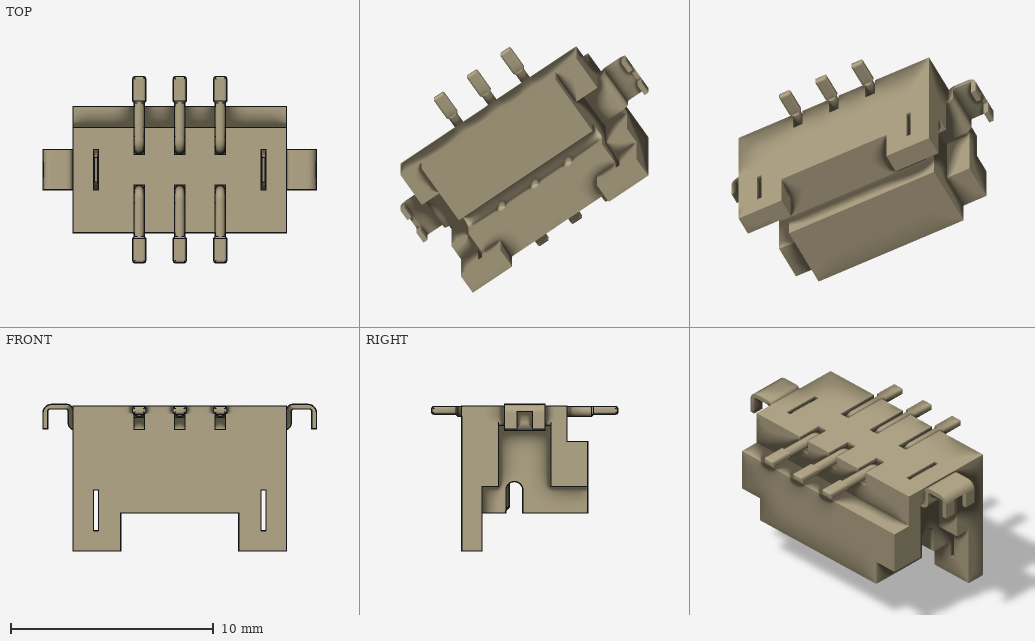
import cadquery as cq


overall_width = 13.5
overall_length = 9.2
overall_height = 7.25

body_width = 10.53
body_length = 6.24
clip_rise = 0.08
body_height = overall_height - clip_rise
side_wall_depth = 3.98
block_depth = 5.29
front_wall = 1.01
leg_width = 2.36
step_length = 1.03
step_depth = 1.75
half_body = body_width / 2
mid_y = body_length / 2

strip = 0.24
clip_length = 2.0
clip_depth = 1.13
clip_outer_bend = 0.45
clip_inner_bend = 0.31
clip_inside_bend = 0.1
window_length = 0.78
window_depth = 0.28
tip_depth = 0.14
tip_taper = 0.4
tip_side_taper = 0.04

slot_inset = 1.01
recess_inset = slot_inset + strip
recess_length = 2.56
recess_roof = 0.97
recess_rounding = 0.16
leg_slot_length = 2.0
leg_slot_base = 1.01

cross_slot_width = 0.82
cross_slot_y = 2.6
cross_slot_top = 3.74

pin_pitch = 2.0
pin_diameter = 0.5
pin_radius = pin_diameter / 2
pin_bend = 0.45
pin_top = 0.03
pin_end = 5.16
pin_end_chamfer = 0.16
head_length = 1.22
head_width = 0.65
head_height = 0.39
head_rounding = 0.14
neck_length = 0.08
groove_width = 0.54
groove_length = 2.36
groove_mouth_depth = 1.16
groove_floor_depth = 0.58
groove_ramp_length = 1.47


def box(x0, x1, y0, y1, z0, z1):
    """Box between two opposite corners."""
    return cq.Workplane("XY").box(x1 - x0, y1 - y0, z1 - z0, centered=False).translate((x0, y0, z0))


def both_sides(shape):
    """Shape on the left side together with its mirror image on the right."""
    return shape.union(shape.mirror("YZ"))


def make_housing():
    outer = box(-half_body, half_body, 0, body_length, -side_wall_depth, 0)
    front = box(-half_body, half_body, 0, front_wall, -body_height, 0)
    leg_gap = box(leg_width - half_body, half_body - leg_width, 0, front_wall, -body_height, -block_depth)
    half_block = half_body - recess_inset
    block = box(-half_block, half_block, 0, body_length, -block_depth, 0)
    step = box(-half_body, half_body, body_length - step_length, body_length, -step_depth, 0)
    return outer.union(front.cut(leg_gap)).union(block).cut(step)


def make_cross_slot():
    radius = cross_slot_width / 2
    spring = cross_slot_top + radius
    return (
        cq.Workplane("YZ", origin=(-half_body, 0, 0))
        .moveTo(cross_slot_y - radius, -block_depth)
        .lineTo(cross_slot_y - radius, -spring)
        .threePointArc((cross_slot_y, -cross_slot_top), (cross_slot_y + radius, -spring))
        .lineTo(cross_slot_y + radius, -block_depth)
        .close()
        .extrude(body_width)
    )


def make_clip_recess():
    """Left recess with a rounded roof edge, its roof slot and the slot through the leg."""
    y0 = mid_y - recess_length / 2
    wall = -half_body
    floor = wall + recess_inset
    recess = (
        cq.Workplane("XZ", origin=(0, y0, 0))
        .moveTo(wall, -side_wall_depth)
        .lineTo(wall, recess_rounding - recess_roof)
        .radiusArc((wall + recess_rounding, -recess_roof), -recess_rounding)
        .lineTo(floor, -recess_roof)
        .lineTo(floor, -side_wall_depth)
        .close()
        .extrude(-recess_length)
    )
    roof_slot = box(
        floor - strip, floor, mid_y - clip_length / 2, mid_y + clip_length / 2, -recess_roof, 0
    )
    slot_base = leg_slot_base - body_height
    leg_slot = box(floor - strip, floor, 0, front_wall, slot_base, slot_base + leg_slot_length)
    return recess.union(roof_slot).union(leg_slot)


def make_clip():
    """Left clip: a hook outside the housing, a strap under the recess roof and a tip in the slot."""
    left = -overall_width / 2
    wall = -half_body
    floor = wall + recess_inset
    outer_curve = recess_rounding + strip
    bend_z = recess_rounding - recess_roof
    tip_base = -tip_depth - tip_taper
    y0 = mid_y - clip_length / 2
    clip = (
        cq.Workplane("XZ", origin=(0, y0, 0))
        .moveTo(left, -clip_depth)
        .lineTo(left, clip_rise - clip_outer_bend)
        .radiusArc((left + clip_outer_bend, clip_rise), clip_outer_bend)
        .lineTo(wall - clip_inner_bend, clip_rise)
        .radiusArc((wall, clip_rise - clip_inner_bend), clip_inner_bend)
        .lineTo(wall, bend_z)
        .radiusArc((wall + recess_rounding, -recess_roof), -recess_rounding)
        .lineTo(floor - strip, -recess_roof)
        .lineTo(floor - strip, tip_base)
        .lineTo(floor, tip_base)
        .lineTo(floor, -recess_roof - strip)
        .lineTo(wall + recess_rounding, -recess_roof - strip)
        .radiusArc((wall - strip, bend_z), outer_curve)
        .lineTo(wall - strip, clip_rise - strip - clip_inside_bend)
        .radiusArc((wall - strip - clip_inside_bend, clip_rise - strip), -clip_inside_bend)
        .lineTo(left + strip + clip_inside_bend, clip_rise - strip)
        .radiusArc((left + strip, clip_rise - strip - clip_inside_bend), -clip_inside_bend)
        .lineTo(left + strip, -clip_depth)
        .close()
        .extrude(-clip_length)
    )
    half_window = window_length / 2
    window = box(
        left, left + clip_outer_bend, mid_y - half_window, mid_y + half_window, -clip_depth, -window_depth
    )
    tip = (
        cq.Workplane("XY", origin=(floor - strip / 2, mid_y, tip_base))
        .rect(strip, clip_length)
        .workplane(offset=tip_taper)
        .rect(strip - 2 * tip_side_taper, clip_length - 2 * tip_taper)
        .loft(ruled=True)
    )
    return clip.cut(window).union(tip)


def make_groove(x):
    """Groove in the top face whose floor rises from the front face, then runs level to its end."""
    return (
        cq.Workplane("YZ", origin=(x - groove_width / 2, 0, 0))
        .moveTo(0, 0)
        .lineTo(0, -groove_mouth_depth)
        .lineTo(groove_ramp_length, -groove_floor_depth)
        .lineTo(groove_length, -groove_floor_depth)
        .lineTo(groove_length, 0)
        .close()
        .extrude(groove_width)
    )


def make_pin(x):
    """Round bent pin of the front row with a flattened head."""
    tip_y = -(overall_length - body_length) / 2
    head_end = tip_y + head_length
    start_y = head_end + neck_length
    axis_z = -pin_top - pin_radius
    axis_y = groove_length - pin_radius
    path = (
        cq.Workplane("YZ", origin=(x, 0, 0))
        .moveTo(start_y, axis_z)
        .lineTo(axis_y - pin_bend, axis_z)
        .radiusArc((axis_y, axis_z - pin_bend), pin_bend)
        .lineTo(axis_y, -pin_end)
    )
    rod = cq.Workplane("XZ", origin=(x, start_y, axis_z)).circle(pin_radius).sweep(path)
    rod = rod.faces("<Z").chamfer(pin_end_chamfer)

    blank = (
        cq.Workplane("XZ", origin=(x, head_end, -pin_top - head_height / 2))
        .rect(head_width, head_height)
        .extrude(head_length)
    )
    head = blank.edges("|Y").fillet(head_rounding)
    for across in ("|X", "|Z"):
        head = head.intersect(blank.faces("<Y").edges(across).fillet(head_rounding))

    neck = cq.Solid.makeLoft([rod.faces("<Y").wires().val(), head.faces(">Y").wires().val()], True)
    return rod.union(neck).union(head)


def both_rows(shape):
    """Front-row shape together with its mirror image in the rear row."""
    return shape.union(shape.mirror("XZ", (0, mid_y, 0)))


result = make_housing().cut(make_cross_slot()).cut(both_sides(make_clip_recess()))
result = result.union(both_sides(make_clip()))

for column in (-1, 0, 1):
    result = result.cut(both_rows(make_groove(column * pin_pitch)))
    result = result.union(both_rows(make_pin(column * pin_pitch)))